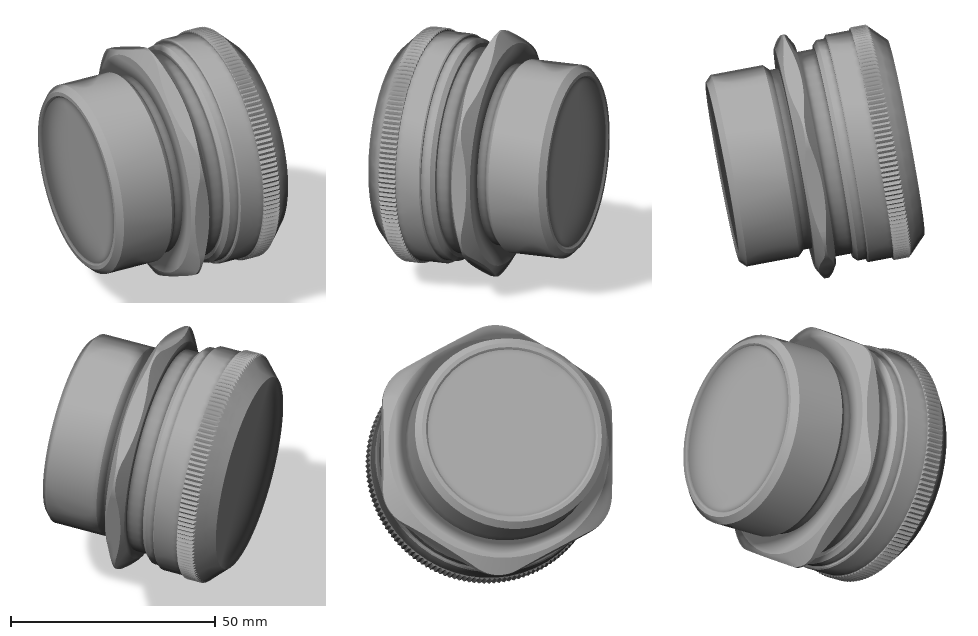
import cadquery as cq
import math


plug_length = 18.0
plug_diameter = 47.8
plug_end_diameter = 44.8
relief_diameter = 44.84
relief_width = 2.0
plug_chamfer = (plug_diameter - plug_end_diameter) / 2
recess_mouth_diameter = 42.8
recess_floor_diameter = 41.8
recess_depth = 0.5

hex_width = 57.0
hex_thickness = 5.0
hex_corner_radius = 10.0
hex_face_diameter = 55.0
hex_bevel_angle = 30.0

neck_diameter = 51.0
neck_length = 4.5
ring_diameter = 55.0
ring_length = 3.25
ring_chamfer = 1.0
collar_diameter = 56.7
collar_length = 6.35
collar_chamfer = 0.3

overall_length = 45.75
knurl_diameter = 58.0
knurl_count = 144
knurl_root_diameter = 56.8
cap_chamfer = 4.65
cap_inner_chamfer = 0.25

plug_start = -plug_length
neck_start = hex_thickness
ring_start = neck_start + neck_length
collar_start = ring_start + ring_length
cap_start = collar_start + collar_length
cap_end = overall_length - plug_length


def turned(profile):
    """Revolve an outline of (radius, y) points about the Y axis."""
    return cq.Workplane("XY").polyline(profile).close().revolve(360, (0, 0, 0), (0, 1, 0))


def along_y(start):
    """Workplane at Y = `start`, facing +Y with its local x along X."""
    return cq.Workplane(cq.Plane(origin=(0, start, 0), xDir=(1, 0, 0), normal=(0, 1, 0)))


def plug():
    """Chamfered plug with a shallow recess in its end and a relief groove against the flange."""
    end_radius = plug_end_diameter / 2
    radius = plug_diameter / 2
    relief_radius = relief_diameter / 2
    return turned([
        (0, plug_start + recess_depth),
        (recess_floor_diameter / 2, plug_start + recess_depth),
        (recess_mouth_diameter / 2, plug_start),
        (end_radius, plug_start),
        (radius, plug_start + plug_chamfer),
        (radius, -relief_width - plug_chamfer),
        (relief_radius, -relief_width),
        (relief_radius, 0),
        (0, 0),
    ])


def hex_flange():
    """Hexagon with rounded corners, bevelled on both faces."""
    prism = (
        along_y(0)
        .polygon(6, hex_width, circumscribed=True)
        .extrude(hex_thickness)
        .edges("|Y")
        .fillet(hex_corner_radius)
    )
    face_radius = hex_face_diameter / 2
    middle = hex_thickness / 2
    tip_radius = face_radius + middle / math.tan(math.radians(hex_bevel_angle))
    double_cone = turned([
        (0, 0),
        (face_radius, 0),
        (tip_radius, middle),
        (face_radius, hex_thickness),
        (0, hex_thickness),
    ])
    return prism.intersect(double_cone)


def body():
    """Neck, chamfered ring and collar between the flange and the cap."""
    neck_radius = neck_diameter / 2
    ring_radius = ring_diameter / 2
    collar_radius = collar_diameter / 2
    return turned([
        (0, neck_start),
        (neck_radius, neck_start),
        (neck_radius, ring_start),
        (ring_radius - ring_chamfer, ring_start),
        (ring_radius, ring_start + ring_chamfer),
        (ring_radius, collar_start),
        (collar_radius - collar_chamfer, collar_start),
        (collar_radius, collar_start + collar_chamfer),
        (collar_radius, cap_start),
        (0, cap_start),
    ])


def knurled_cap():
    """Cap with sharp straight teeth, bevelled at its outer end and lightly broken at its inner end."""
    outline = []
    for index in range(2 * knurl_count):
        angle = math.pi * index / knurl_count
        radius = (knurl_root_diameter if index % 2 == 0 else knurl_diameter) / 2
        outline.append((radius * math.cos(angle), radius * math.sin(angle)))
    toothed = along_y(cap_start).polyline(outline).close().extrude(cap_end - cap_start)
    radius = knurl_diameter / 2
    bevelled_disc = turned([
        (0, cap_start),
        (radius - cap_inner_chamfer, cap_start),
        (radius, cap_start + cap_inner_chamfer),
        (radius, cap_end - cap_chamfer),
        (radius - cap_chamfer, cap_end),
        (0, cap_end),
    ])
    return toothed.intersect(bevelled_disc)


result = plug().union(hex_flange()).union(body()).union(knurled_cap())